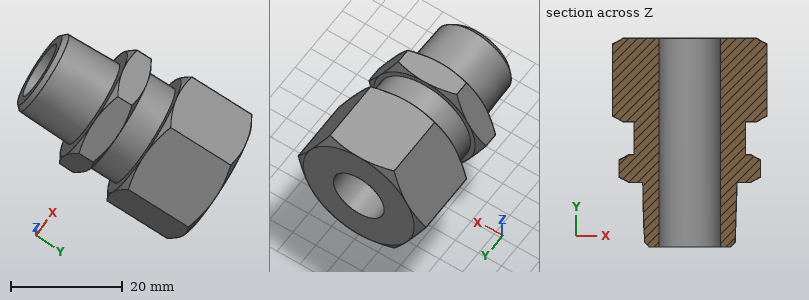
import cadquery as cq
import math

total_length = 37.4
nut_length = 15.0
collar_length = 5.85
body_hex_length = 5.0
thread_length = total_length - nut_length - collar_length - body_hex_length
end_chamfer_length = 0.9

nut_flats = 24.0
body_hex_flats = 22.0
collar_diameter = 20.0
bore_diameter = 11.0
thread_end_diameter = 16.3
end_face_diameter = 14.55

thread_taper = 1 / 16
thread_root_diameter = thread_end_diameter + thread_taper * (thread_length - end_chamfer_length)

hex_chamfer_angle = math.radians(30)

thread_end_y = -total_length / 2
body_hex_y = thread_end_y + thread_length
collar_y = body_hex_y + body_hex_length
nut_y = collar_y + collar_length


def revolve_profile(points):
    """Revolve a (radius, y) outline around the fitting axis."""
    return cq.Workplane("XY").polyline(points).close().revolve(360, (0, 0, 0), (0, 1, 0))


def chamfered_hexagon(flats, start_y, length):
    """Hexagon with corners on X, its corners turned off by a cone at both ends."""
    corner_radius = flats / math.sqrt(3)
    face_radius = flats / 2
    chamfer_depth = (corner_radius - face_radius) * math.tan(hex_chamfer_angle)
    end_y = start_y + length
    prism = (
        cq.Workplane("XZ", origin=(0, start_y, 0))
        .polygon(6, 2 * corner_radius)
        .extrude(-length)
    )
    envelope = revolve_profile([
        (0, start_y),
        (face_radius, start_y),
        (corner_radius, start_y + chamfer_depth),
        (corner_radius, end_y - chamfer_depth),
        (face_radius, end_y),
        (0, end_y),
    ])
    return prism.intersect(envelope)


def tapered_thread_and_collar():
    """Turned core: plain taper standing for the thread, then the round collar."""
    return revolve_profile([
        (0, thread_end_y),
        (end_face_diameter / 2, thread_end_y),
        (thread_end_diameter / 2, thread_end_y + end_chamfer_length),
        (thread_root_diameter / 2, body_hex_y),
        (collar_diameter / 2, body_hex_y),
        (collar_diameter / 2, nut_y),
        (0, nut_y),
    ])


def through_bore():
    return (
        cq.Workplane("XZ", origin=(0, thread_end_y, 0))
        .circle(bore_diameter / 2)
        .extrude(-total_length)
    )


result = (
    tapered_thread_and_collar()
    .union(chamfered_hexagon(body_hex_flats, body_hex_y, body_hex_length))
    .union(chamfered_hexagon(nut_flats, nut_y, nut_length))
    .cut(through_bore())
)